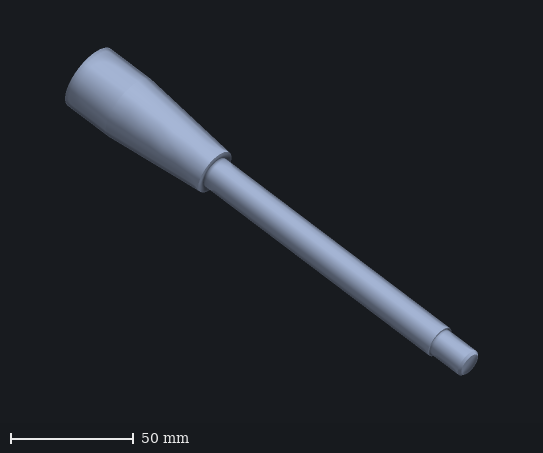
import cadquery as cq

total_length = 212.0
dome_height = 1.5
grip_straight_end = 24.0
grip_end = 71.0
tip_length = 16.5
tip_chamfer = 1.0

grip_radius = 29.0 / 2
grip_neck_radius = 20.0 / 2
shaft_radius = 14.0 / 2
tip_radius = 12.0 / 2

shoulder_x = total_length - tip_length

cap_radius = (grip_radius**2 + dome_height**2) / (2 * dome_height)
mid_radius = grip_radius / 2
mid_x = cap_radius - (cap_radius**2 - mid_radius**2) ** 0.5

half_section = (
    cq.Workplane("XY")
    .moveTo(0, 0)
    .threePointArc((mid_x, mid_radius), (dome_height, grip_radius))
    .lineTo(grip_straight_end, grip_radius)
    .lineTo(grip_end, grip_neck_radius)
    .lineTo(grip_end, shaft_radius)
    .lineTo(shoulder_x, shaft_radius)
    .lineTo(shoulder_x, tip_radius)
    .lineTo(total_length - tip_chamfer, tip_radius)
    .lineTo(total_length, tip_radius - tip_chamfer)
    .lineTo(total_length, 0)
    .close()
)

result = half_section.revolve(360, (0, 0, 0), (1, 0, 0))